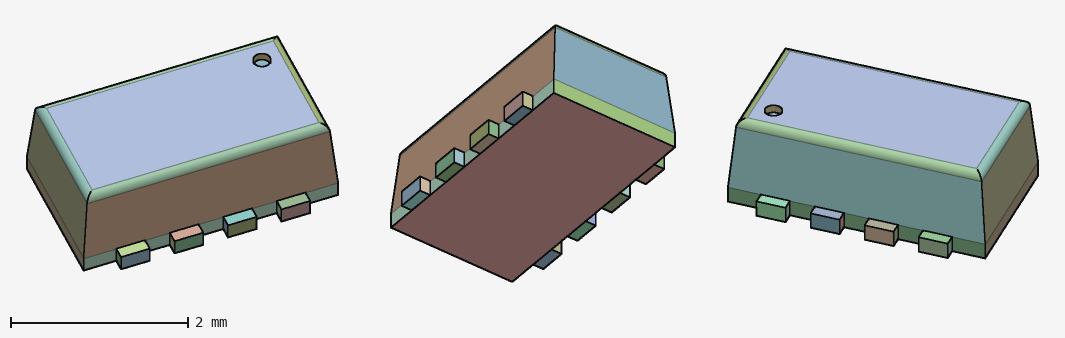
import cadquery as cq

housing_length = 3.1
housing_width = 1.7
total_height = 1.1
base_height = 0.2
draft_angle = 5.0
edge_radius = 0.1

lead_rows_span = 1.98
lead_width = 0.35
lead_height = base_height
lead_pitch = 0.65
leads_per_side = 4
lead_length = (lead_rows_span - housing_width) / 2

mark_diameter = 0.2
mark_depth = 0.1
mark_inset = 0.4
mark_x = mark_inset - housing_width / 2
mark_y = housing_length / 2 - mark_inset


def make_housing():
    """One solid: base block and tapered cap, with the mark sunk into the top."""
    base = cq.Workplane("XY").box(
        housing_width, housing_length, base_height, centered=(True, True, False)
    )
    cap = (
        cq.Workplane("XY")
        .workplane(offset=base_height)
        .rect(housing_width, housing_length)
        .extrude(total_height - base_height, taper=draft_angle)
        .faces(">Z")
        .edges()
        .fillet(edge_radius)
    )
    mark = (
        cq.Workplane("XY")
        .workplane(offset=total_height - mark_depth)
        .center(mark_x, mark_y)
        .circle(mark_diameter / 2)
        .extrude(mark_depth)
    )
    return base.union(cap).cut(mark).solids()


def make_lead(side, y):
    """One lead butting against the housing wall; side is -1 or 1 along X."""
    x = side * (housing_width + lead_length) / 2
    return (
        cq.Workplane("XY")
        .box(lead_length, lead_width, lead_height, centered=(True, True, False))
        .translate((x, y, 0))
    )


housing = make_housing()

leads = []
for side in (-1, 1):
    for index in range(leads_per_side):
        lead_y = (index - (leads_per_side - 1) / 2) * lead_pitch
        leads.append(make_lead(side, lead_y))

result = cq.Compound.makeCompound([housing.val(), *[lead.val() for lead in leads]])